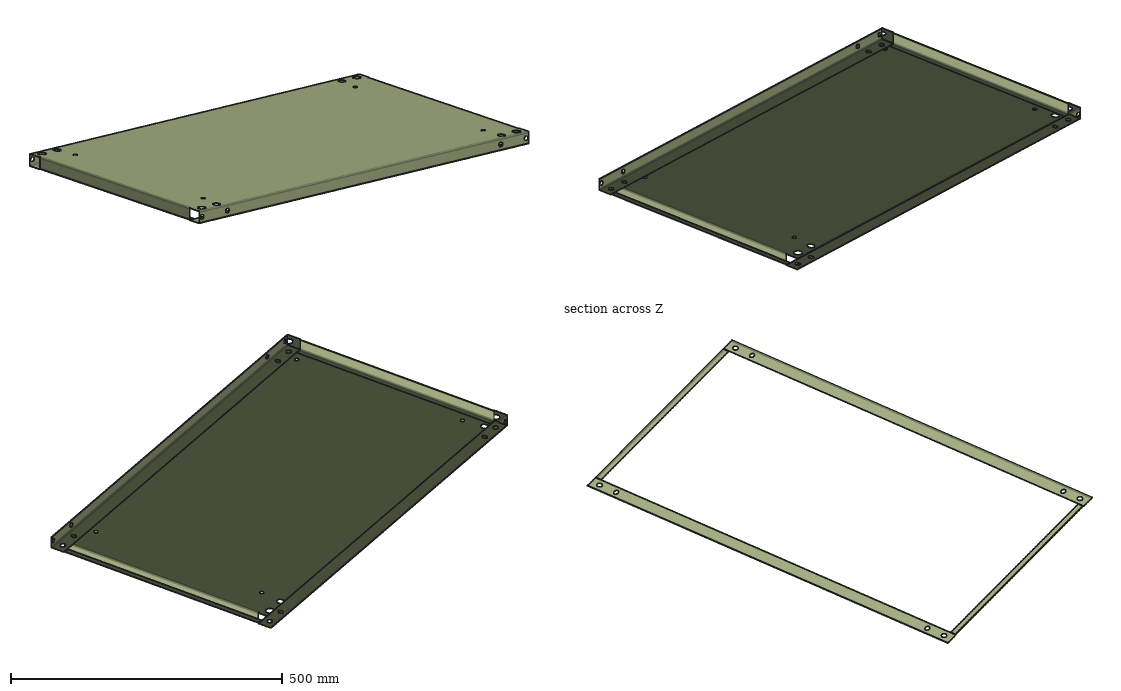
import cadquery as cq

width = 486.0
length = 795.0
height = 25.0
sheet = 1.5
outer_bend = 2.0
inner_bend = outer_bend - sheet

side_lip = 29.0
end_lip = 12.0
end_wall_inset = 29.5

mount_inset_x = 15.0
round_inset_y = 17.5
round_plate_diameter = 16.0
round_lip_diameter = 10.0
slot_inset_y = 54.0
slot_plate_size = (16.0, 13.0)
slot_lip_size = (11.0, 8.0)

pilot_inset_x = 60.5
pilot_inset_y = 60.0
pilot_diameter = 8.0

wall_hole_diameter = 9.0
wall_hole_insets_y = (6.0, 67.5)

mid_height = height / 2
end_wall_width = width - 2 * end_wall_inset
signs = (-1, 1)


def folded_channel(span, run, lip):
    """Inverted channel spanning X and running along Y, with inward lips at the bottom."""

    def bar(bar_width, bar_height, centre_z):
        return cq.Workplane("XY").box(bar_width, run, bar_height).translate((0, 0, centre_z))

    outside = bar(span, height, mid_height).edges("|Y").fillet(outer_bend)
    inside = bar(span - 2 * sheet, height - 2 * sheet, mid_height).edges("|Y").fillet(inner_bend)
    opening = bar(span - 2 * lip, 2 * sheet, sheet)
    return outside.cut(inside).cut(opening)


def folded_panel():
    """Side channel over the full length, with its middle replaced by the crossing end channel."""
    side_channel = folded_channel(width, length, side_lip)
    end_channel = folded_channel(length, end_wall_width, end_lip).rotate((0, 0, 0), (0, 0, 1), 90)
    middle = cq.Workplane("XY").box(end_wall_width, length, 2 * height)
    return side_channel.cut(middle).union(end_channel)


def corner_workplane(inset_x, inset_y):
    """Workplane at mid height with one point near each corner of the panel."""
    points = [
        (sign_x * (width / 2 - inset_x), sign_y * (length / 2 - inset_y))
        for sign_x in signs
        for sign_y in signs
    ]
    return cq.Workplane("XY", origin=(0, 0, mid_height)).pushPoints(points)


def round_openings():
    points = corner_workplane(mount_inset_x, round_inset_y)
    plate_holes = points.circle(round_plate_diameter / 2).extrude(mid_height)
    lip_holes = points.circle(round_lip_diameter / 2).extrude(-mid_height)
    return plate_holes.union(lip_holes)


def slot_openings():
    points = corner_workplane(mount_inset_x, slot_inset_y)
    plate_slots = points.slot2D(*slot_plate_size).extrude(mid_height)
    lip_slots = points.slot2D(*slot_lip_size).extrude(-mid_height)
    return plate_slots.union(lip_slots)


def pilot_holes():
    return corner_workplane(pilot_inset_x, pilot_inset_y).circle(pilot_diameter / 2).extrude(mid_height)


def side_wall_holes():
    """Cylinders along X that pierce only the two side walls."""
    points = [
        (sign * (length / 2 - inset), mid_height)
        for sign in signs
        for inset in wall_hole_insets_y
    ]
    walls = [
        cq.Workplane("YZ", origin=(sign * width / 2, 0, 0))
        .pushPoints(points)
        .circle(wall_hole_diameter / 2)
        .extrude(2 * sheet, both=True)
        for sign in signs
    ]
    return walls[0].union(walls[1])


result = folded_panel()
for cutter in (round_openings(), slot_openings(), pilot_holes(), side_wall_holes()):
    result = result.cut(cutter)